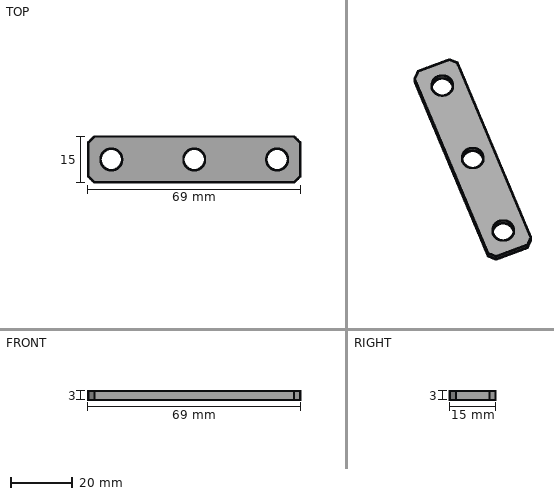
import cadquery as cq

length = 69.0
width = 15.0
thickness = 3.0
corner_chamfer = 2.0

hole_diameter = 7.0
hole_pitch = 27.0
hole_count = 3

bar = (
    cq.Workplane("XY")
    .box(length, width, thickness)
    .edges("|Z")
    .chamfer(corner_chamfer)
)

result = (
    bar.faces(">Z")
    .workplane()
    .rarray(hole_pitch, 0.7, hole_count, 1)
    .hole(hole_diameter)
)